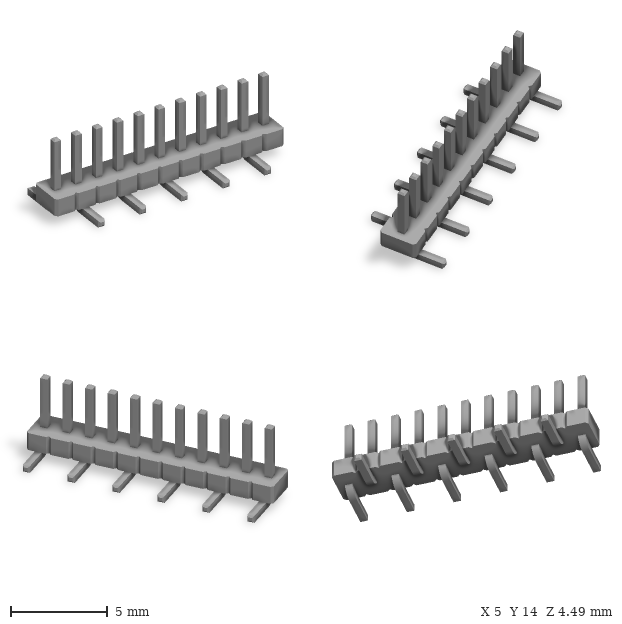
import cadquery as cq
import math


pin_count = 11
row_length = 13.97
pitch = row_length / pin_count
housing_width = 2.1
housing_height = 1.0
standoff = 0.49
corner_cut = 0.14

pin_size = 0.4
pin_rise = 3.0
pin_top = standoff + housing_height + pin_rise
leg_reach = 2.5
tip_chamfer = 0.1
inner_bend = 0.4
outer_bend = inner_bend + pin_size


def make_segment(center_y):
    """One housing segment with its four vertical edges cut."""
    return (
        cq.Workplane("XY", origin=(0, center_y, standoff))
        .rect(housing_width, pitch)
        .extrude(housing_height)
        .edges("|Z")
        .chamfer(corner_cut)
    )


def make_pin():
    """Upright pin whose leg bends toward -X, with chamfered tips."""
    half = pin_size / 2
    bend_x = -half - inner_bend
    bend_z = outer_bend
    diagonal = math.sqrt(0.5)
    outer_mid = (bend_x + outer_bend * diagonal, bend_z - outer_bend * diagonal)
    inner_mid = (bend_x + inner_bend * diagonal, bend_z - inner_bend * diagonal)
    return (
        cq.Workplane("XZ")
        .moveTo(-leg_reach, 0)
        .lineTo(bend_x, 0)
        .threePointArc(outer_mid, (half, bend_z))
        .lineTo(half, pin_top)
        .lineTo(-half, pin_top)
        .lineTo(-half, bend_z)
        .threePointArc(inner_mid, (bend_x, pin_size))
        .lineTo(-leg_reach, pin_size)
        .close()
        .extrude(half, both=True)
        .faces(">Z or <X")
        .chamfer(tip_chamfer)
    )


left_pin = make_pin()
right_pin = left_pin.mirror("YZ")

first_y = -(row_length - pitch) / 2
centers_y = [first_y + index * pitch for index in range(pin_count)]

result = make_segment(centers_y[0])
for center_y in centers_y[1:]:
    result = result.union(make_segment(center_y))
for index, center_y in enumerate(centers_y):
    pin = left_pin if index % 2 == 0 else right_pin
    result = result.union(pin.translate((0, center_y, 0)))
result = result.clean()